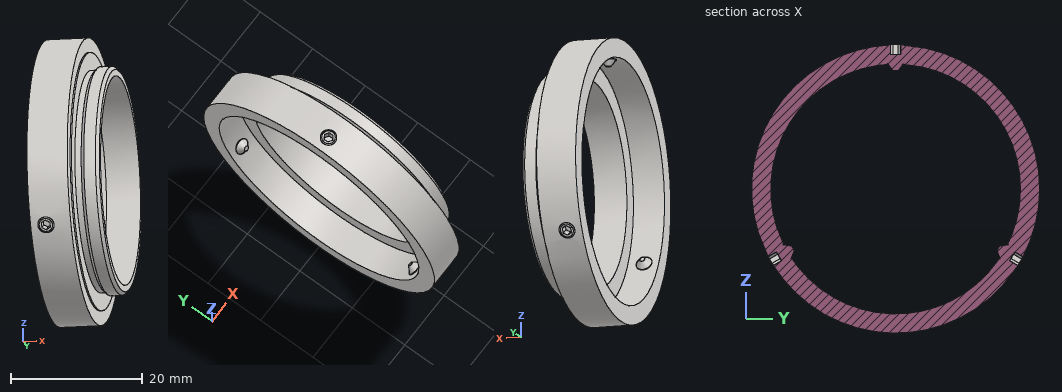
import cadquery as cq
import math

outer_diameter = 44.0
seat_diameter = 38.0
bore_diameter = 32.0
shoulder_diameter = 39.5
neck_diameter = 34.0
rim_diameter = 35.0

flange_end = 6.3
shoulder_end = flange_end + 0.2
neck_end = 7.5
overall_length = 10.3
seat_depth = 5.0
rim_chamfer = (rim_diameter - neck_diameter) / 2

screw_count = 3
screw_spacing = 360 / screw_count
screw_position = 2.42
screw_diameter = 2.5
screw_length = 4.0
overall_height = 44.05
screw_head_height = overall_height - outer_diameter / 2
head_edge_width = 0.2
head_edge_drop = 0.1
screw_tip_diameter = 0.85
screw_cone_length = 1.05
socket_width = 1.3
socket_depth = 1.5
socket_diameter = socket_width / math.cos(math.pi / 6)


def make_ring():
    """Revolve the half section; sketch x is the axis and sketch y the radius."""
    profile = [
        (0, seat_diameter / 2),
        (0, outer_diameter / 2),
        (flange_end, outer_diameter / 2),
        (flange_end, shoulder_diameter / 2),
        (shoulder_end, shoulder_diameter / 2),
        (shoulder_end, neck_diameter / 2),
        (neck_end, neck_diameter / 2),
        (neck_end + rim_chamfer, rim_diameter / 2),
        (overall_length - rim_chamfer, rim_diameter / 2),
        (overall_length, rim_diameter / 2 - rim_chamfer),
        (overall_length, bore_diameter / 2),
        (seat_depth, bore_diameter / 2),
        (seat_depth, seat_diameter / 2),
    ]
    return cq.Workplane("XY").polyline(profile).close().revolve(360, (0, 0, 0), (1, 0, 0))


def make_screw_hole():
    """Radial hole through the flange wall, opening upward."""
    hole = cq.Workplane("XY").center(screw_position, 0).circle(screw_diameter / 2)
    return hole.extrude(outer_diameter)


def make_screw():
    """Set screw pointing down at the ring axis, with a hexagon socket in its head."""
    tip_height = screw_head_height - screw_length
    screw_radius = screw_diameter / 2
    profile = [
        (0, tip_height),
        (screw_tip_diameter / 2, tip_height),
        (screw_radius, tip_height + screw_cone_length),
        (screw_radius, screw_head_height - head_edge_drop),
        (screw_radius - head_edge_width, screw_head_height),
        (0, screw_head_height),
    ]
    body = cq.Workplane("XZ").polyline(profile).close().revolve(360, (0, 0, 0), (0, 1, 0))
    socket = (
        cq.Workplane("XY", origin=(0, 0, screw_head_height))
        .transformed(rotate=(0, 0, 90))
        .polygon(6, socket_diameter)
        .extrude(-socket_depth)
    )
    return body.cut(socket).translate((screw_position, 0, 0))


result = make_ring()
for index in range(screw_count):
    turn = ((0, 0, 0), (1, 0, 0), index * screw_spacing)
    result = result.cut(make_screw_hole().rotate(*turn))
    result = result.union(make_screw().rotate(*turn))